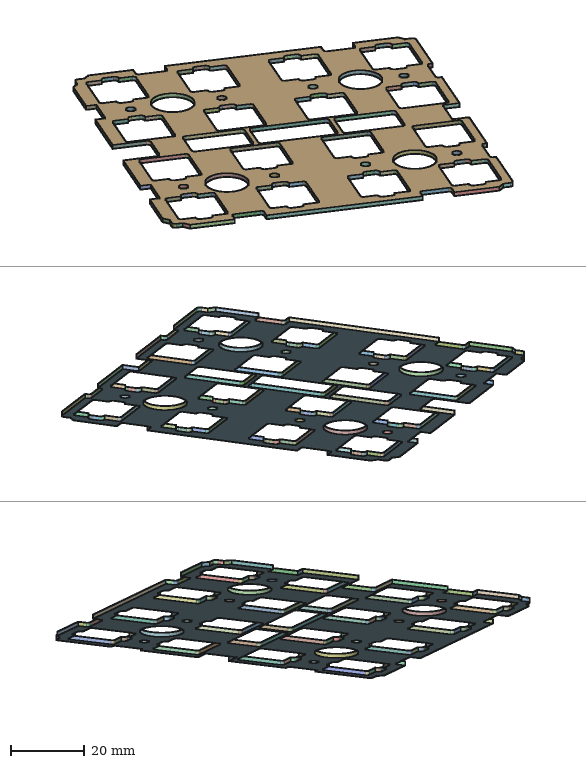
import cadquery as cq

width = 100.0
height = 98.5
thickness = 1.2
x_edge = width / 2
y_edge = height / 2

pitch = 25.9
grid_y = 0.75
steps = (-1.5, -0.5, 0.5, 1.5)

switch_size = 14.1
switch_radius = 0.8
tab_reach = 1.3
tab_width = 4.8
tab_radius = 1.2

screw_diameter = 2.6
large_diameter = 12.0
large_offset = 26.7

window_width = 10.2
window_radius = 1.0
middle_window_length = 22.6
outer_window_length = 17.6
window_web = 1.4

top_notch_width = 9.4
top_notch_depth = 4.8
bottom_notch_depth = 10.6
side_notch_width = 9.0
side_notch_depth = 3.2
notch_radius = 0.8
edge_notch_width = 9.0
top_edge_notch_depth = 1.6
bottom_edge_notch_depth = 2.9

corner_step = 1.6
corner_shoulder = 2.9
corner_radius = 1.0


def block(x, y, size_x, size_y, radius=0.0):
    """Cutter through the plate, centred at (x, y), with optional rounded corners."""
    body = cq.Workplane("XY").box(size_x, size_y, thickness).translate((x, y, 0))
    if radius:
        body = body.edges("|Z").fillet(radius)
    return body


def pin(x, y, diameter):
    """Round cutter through the plate, centred at (x, y)."""
    return cq.Workplane("XY").center(x, y).circle(diameter / 2).extrude(thickness / 2, both=True)


def plate_blank():
    """Plate with stepped corners; the top edge lies level with its corner steps."""
    step_x = x_edge - corner_step
    step_y = y_edge - corner_step
    ramp_x = step_x - corner_shoulder
    bottom_ramp_y = step_y - corner_shoulder
    top_ramp_y = y_edge - corner_shoulder
    right_side = [
        (ramp_x - corner_step, -y_edge),
        (ramp_x, -step_y),
        (step_x, -step_y),
        (step_x, -bottom_ramp_y),
        (x_edge, -bottom_ramp_y + corner_step),
        (x_edge, top_ramp_y - corner_step),
        (step_x, top_ramp_y),
        (step_x, y_edge),
    ]
    left_side = [(-x, y) for x, y in reversed(right_side)]
    blank = cq.Workplane("XY").polyline(right_side + left_side).close()
    blank = blank.extrude(thickness / 2, both=True)
    for x in (-step_x, step_x):
        for y in (-step_y, y_edge):
            corner = cq.selectors.NearestToPointSelector((x, y, 0))
            blank = blank.edges("|Z").edges(corner).fillet(corner_radius)
    return blank


def switch_cutout(x, y):
    """Switch opening; the two middle columns have a tab on their outward side only."""
    opening = block(x, y, switch_size, switch_size, switch_radius)
    outward = 1 if x > 0 else -1
    tab_sides = (-1, 1) if abs(x) > pitch else (outward,)
    tab_length = 2 * tab_reach + 2 * tab_radius
    for side in tab_sides:
        tab_x = x + side * ((switch_size - tab_length) / 2 + tab_reach)
        opening = opening.union(block(tab_x, y, tab_length, tab_width, tab_radius))
    return opening


plate = plate_blank()

for column in steps:
    for row in steps:
        plate = plate.cut(switch_cutout(column * pitch, grid_y + row * pitch))

for side in (-1, 1):
    for row in steps:
        plate = plate.cut(pin(side * pitch, grid_y + row * pitch, screw_diameter))
    for end in (-1, 1):
        plate = plate.cut(pin(side * large_offset, grid_y + end * large_offset, large_diameter))

plate = plate.cut(block(0, grid_y, window_width, middle_window_length, window_radius))
outer_window_offset = (middle_window_length + outer_window_length) / 2 + window_web
for end in (-1, 1):
    window_y = grid_y + end * outer_window_offset
    plate = plate.cut(block(0, window_y, window_width, outer_window_length, window_radius))

plate = plate.cut(block(0, y_edge, top_notch_width, 2 * top_notch_depth))
plate = plate.cut(block(0, -y_edge, window_width, 2 * bottom_notch_depth, window_radius))
for side in (-1, 1):
    notch_x = side * large_offset
    plate = plate.cut(block(notch_x, y_edge, edge_notch_width, 2 * top_edge_notch_depth, notch_radius))
    plate = plate.cut(block(notch_x, -y_edge, edge_notch_width, 2 * bottom_edge_notch_depth))
    for end in (-1, 1):
        notch_y = grid_y + end * large_offset
        notch = block(side * x_edge, notch_y, 2 * side_notch_depth, side_notch_width, notch_radius)
        plate = plate.cut(notch)

result = plate